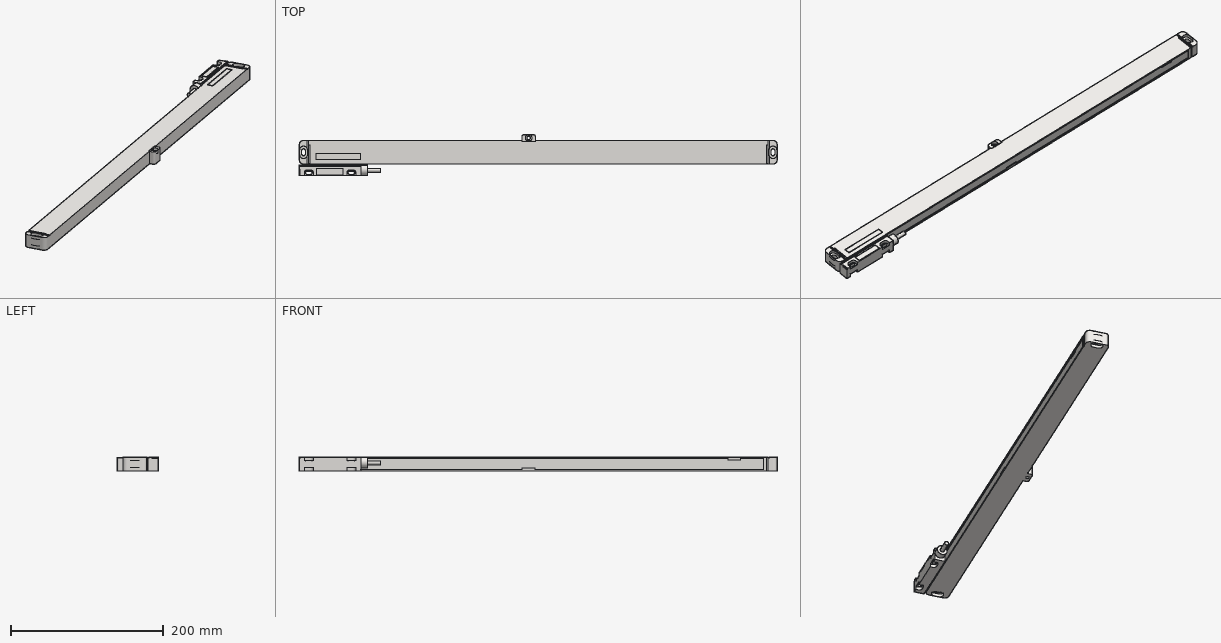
import cadquery as cq

LENGTH = 625.0
HEIGHT = 18.0
DEPTH = 54.0

HOUSING_FRONT = 15.0
HOUSING_BACK = 46.0
CAP_CORNER_RADIUS = 5.5
CAP_LENGTH = 10.0
SEAM_WIDTH = 2.0
SEAM_DEPTH = 0.5
GASKET_DEPTH = 0.3
GASKET_BACK = 40.0

PANEL_END_MARGIN = 18.0
PANEL_DEPTH = 1.0
LIP_HEIGHT = 2.0
TAB_LENGTH = 17.0
TAB_HEIGHT = 4.0
TOP_TAB_X = 569.0

LABEL_LENGTH = 58.0
LABEL_WIDTH = 7.5
LABEL_X = 51.0
LABEL_Y = 25.0
LABEL_DEPTH = 0.5

FOOT_X = 300.0
FOOT_WIDTH = 18.0
FOOT_SEAT = 1.0
FOOT_TOP_CLEARANCE = 0.5
FOOT_CORNER_RADIUS = 3.0
FOOT_HOLE_Y = 49.5
FOOT_HOLE_DIAMETER = 4.5
FOOT_COUNTERBORE_DIAMETER = 9.0

POCKET_DEPTH = 4.5
SLOT_LENGTH = 9.0
CAP_SLOT_WIDTH = 5.0
CAP_SLOT_INSET = 5.5
CAP_POCKET_LENGTH = 16.0
CAP_POCKET_WIDTH = 10.0
HEAD_SLOT_WIDTH = 4.0
HEAD_SLOT_INSET = 4.0
HEAD_SLOT_XS = (12.5, 68.0)
HEAD_POCKET_WIDTH = 12.0
HEAD_POCKET_REACH = 7.5
HEAD_POCKET_CORNER_RADIUS = 4.0

HEAD_LENGTH = 80.5
HEAD_BACK = 14.0
END_STEP_LENGTH = 1.0
END_STEP_BACK = 8.0
END_STEP_DEPTH = 2.0
BACK_LEDGE_WIDTH = 2.0
BACK_LEDGE_DEPTH = 0.5
COVER_START = 22.5
COVER_END = 57.5
COVER_FRONT = 1.0
COVER_BACK = 9.5
COVER_DEPTH = 0.5

CABLE_Y = 7.0
CABLE_Z = 10.5
GLAND_DIAMETER = 14.0
GLAND_END = 89.5
CABLE_DIAMETER = 5.5
CABLE_END = 106.0


def block(x0, x1, y0, y1, z0, z1):
    """Box between two opposite corners."""
    return cq.Workplane("XY").box(x1 - x0, y1 - y0, z1 - z0, centered=False).translate((x0, y0, z0))


def rod(x0, x1, diameter):
    """Round rod along X on the cable axis."""
    return cq.Workplane("YZ", origin=(x0, CABLE_Y, CABLE_Z)).circle(diameter / 2).extrude(x1 - x0)


def screw_slot(length, width, pocket):
    """Cutter for a through slot along X, with the given pocket in both the bottom and the top."""
    slot = cq.Workplane("XY").slot2D(length, width).extrude(HEIGHT)
    return slot.union(pocket).union(pocket.translate((0, 0, HEIGHT - POCKET_DEPTH)))


def cap_slot_cutter():
    """Slot along Y, with rounded pockets that leave a thin wall to the end face."""
    pocket = cq.Workplane("XY").slot2D(CAP_POCKET_LENGTH, CAP_POCKET_WIDTH).extrude(POCKET_DEPTH)
    return screw_slot(SLOT_LENGTH, CAP_SLOT_WIDTH, pocket).rotate((0, 0, 0), (0, 0, 1), 90)


def head_slot_cutter():
    """Slot along X, with pockets that open through the head's front face."""
    pocket_back = HEAD_POCKET_REACH - HEAD_SLOT_INSET
    pocket = (
        block(
            -HEAD_POCKET_WIDTH / 2, HEAD_POCKET_WIDTH / 2,
            -HEAD_POCKET_REACH, pocket_back, 0, POCKET_DEPTH,
        )
        .edges("|Z and >Y").fillet(HEAD_POCKET_CORNER_RADIUS)
    )
    return screw_slot(SLOT_LENGTH, HEAD_SLOT_WIDTH, pocket)


def make_housing():
    middle_y = (HOUSING_FRONT + HOUSING_BACK) / 2
    housing = (
        block(0, LENGTH, HOUSING_FRONT, HOUSING_BACK, 0, HEIGHT)
        .edges("|Z").fillet(CAP_CORNER_RADIUS)
    )

    panel_back = HOUSING_FRONT + PANEL_DEPTH
    panel = block(
        PANEL_END_MARGIN, LENGTH - PANEL_END_MARGIN,
        HOUSING_FRONT, panel_back, LIP_HEIGHT, HEIGHT - LIP_HEIGHT,
    )
    for tab_x, tab_z in ((FOOT_X, 0), (TOP_TAB_X, HEIGHT - TAB_HEIGHT)):
        panel = panel.cut(block(
            tab_x - TAB_LENGTH / 2, tab_x + TAB_LENGTH / 2,
            HOUSING_FRONT, panel_back, tab_z, tab_z + TAB_HEIGHT,
        ))
    housing = housing.cut(panel)

    body_end = CAP_LENGTH + SEAM_WIDTH
    for cap_seam_x, gasket_x in (
        (CAP_LENGTH, body_end),
        (LENGTH - body_end, LENGTH - body_end - SEAM_WIDTH),
    ):
        cap_seam = block(
            cap_seam_x, cap_seam_x + SEAM_WIDTH, HOUSING_FRONT, HOUSING_BACK, HEIGHT - SEAM_DEPTH, HEIGHT,
        )
        gasket_end = gasket_x + SEAM_WIDTH
        top_gasket = block(gasket_x, gasket_end, HOUSING_FRONT, GASKET_BACK, HEIGHT - GASKET_DEPTH, HEIGHT)
        front_gasket = block(gasket_x, gasket_end, HOUSING_FRONT, HOUSING_FRONT + GASKET_DEPTH, 0, HEIGHT)
        housing = housing.cut(cap_seam).cut(top_gasket).cut(front_gasket)

    cap_slot = cap_slot_cutter()
    for slot_x in (CAP_SLOT_INSET, LENGTH - CAP_SLOT_INSET):
        housing = housing.cut(cap_slot.translate((slot_x, middle_y, 0)))

    label = (
        cq.Workplane("XY", origin=(LABEL_X, LABEL_Y, HEIGHT - LABEL_DEPTH))
        .rect(LABEL_LENGTH, LABEL_WIDTH).extrude(LABEL_DEPTH)
    )
    return add_foot(housing.cut(label))


def add_foot(housing):
    """Mounting foot seated in a shallow notch in the housing back."""
    foot_left = FOOT_X - FOOT_WIDTH / 2
    foot_right = FOOT_X + FOOT_WIDTH / 2
    foot_top = HEIGHT - FOOT_TOP_CLEARANCE
    notch = block(foot_left, foot_right, HOUSING_BACK - FOOT_SEAT, HOUSING_BACK, foot_top, HEIGHT)
    foot = (
        block(foot_left, foot_right, HOUSING_BACK, DEPTH, 0, foot_top)
        .edges("|Z and >Y").fillet(FOOT_CORNER_RADIUS)
    )
    hole = cq.Workplane("XY", origin=(FOOT_X, FOOT_HOLE_Y, 0)).circle(FOOT_HOLE_DIAMETER / 2).extrude(HEIGHT)
    counterbore = (
        cq.Workplane("XY", origin=(FOOT_X, FOOT_HOLE_Y, foot_top - POCKET_DEPTH))
        .circle(FOOT_COUNTERBORE_DIAMETER / 2).extrude(POCKET_DEPTH)
        .intersect(block(foot_left, foot_right, HOUSING_BACK, DEPTH, 0, foot_top))
    )
    return housing.cut(notch).union(foot.cut(hole).cut(counterbore))


def make_head():
    head = block(0, HEAD_LENGTH, 0, HEAD_BACK, 0, HEIGHT)

    end_step = block(0, END_STEP_LENGTH, 0, END_STEP_BACK, HEIGHT - END_STEP_DEPTH, HEIGHT)
    back_ledge = block(
        0, HEAD_LENGTH, HEAD_BACK - BACK_LEDGE_WIDTH, HEAD_BACK, HEIGHT - BACK_LEDGE_DEPTH, HEIGHT,
    )
    cover = block(COVER_START, COVER_END, COVER_FRONT, COVER_BACK, HEIGHT - COVER_DEPTH, HEIGHT)
    head = head.cut(end_step).cut(back_ledge).cut(cover)

    head_slot = head_slot_cutter()
    for slot_x in HEAD_SLOT_XS:
        head = head.cut(head_slot.translate((slot_x, HEAD_SLOT_INSET, 0)))

    gland = rod(HEAD_LENGTH, GLAND_END, GLAND_DIAMETER)
    cable = rod(GLAND_END, CABLE_END, CABLE_DIAMETER)
    return head.union(gland).union(cable)


housing = make_housing()
head = make_head()
result = cq.Compound.makeCompound([housing.solids().val(), head.solids().val()])